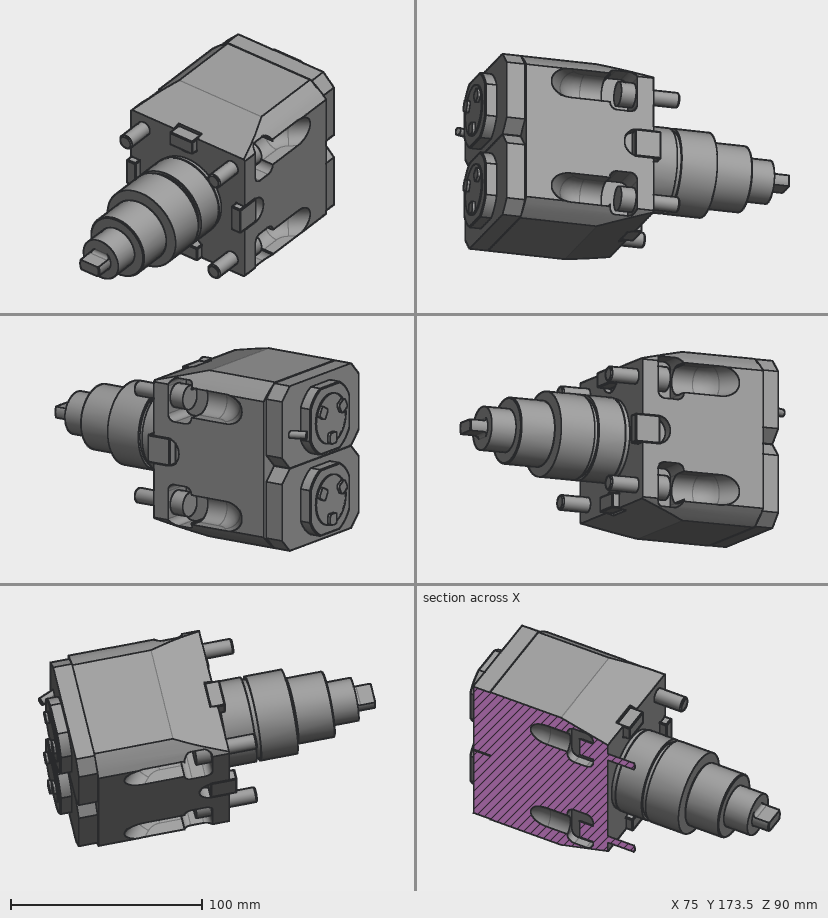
import cadquery as cq
import math

BODY_WIDTH = 75.0
BODY_HEIGHT = 90.0
BODY_LENGTH = 70.0
BODY_TURNED_DIAMETER = 105.0
TAPER_LENGTH = 28.0
FRONT_HEIGHT = BODY_WIDTH
HALF_WIDTH = BODY_WIDTH / 2

PLATE_WIDTH = 70.0
PLATE_HEIGHT = 44.5
PLATE_THICKNESS = 10.0
PLATE_CHAMFER = 7.0
PLATE_GAP = 0.3
PLATE_BACK = BODY_LENGTH + PLATE_THICKNESS

REAR_END = 88.47
CAP_OFFSET = 22.0
CAP_DIAMETER = 40.0
CAP_ACROSS_FLATS = 36.0
CAP_HEIGHT = 6.3
CAP_CHAMFER = 0.5
CAP_FACE_DIAMETER = 27.0
CAP_FACE_HEIGHT = 0.6
PAD_SIZE = 6.0
PAD_CORNER_RADIUS = 1.5
PAD_CIRCLE_RADIUS = 10.3
PAD_ANGLES = (30, 150, 270)

NOZZLE_DIAMETER = 4.0
NOZZLE_TILT = 24.0
NOZZLE_X = 26.9
NOZZLE_Z = 18.25
NOZZLE_ROOT = 2.0

SPINDLE_STEPS = (
    (44.0, 2.5),
    (45.0, 18.0),
    (42.0, 20.5),
    (45.0, 40.0),
    (16.6, 41.0),
)
NUT_DIAMETER = 35.0
NUT_START = SPINDLE_STEPS[-1][1]
NUT_END = 61.0
NUT_CHAMFER = 0.5
HOLDER_DIAMETER = 23.0
HOLDER_END = 75.0
TANG_DIAMETER = 13.0
TANG_THICKNESS = 6.0
TANG_END = 85.0
TANG_FILLET = 2.0
TANG_CHAMFER = 0.5

SCREW_OFFSET = 29.0
SCREW_DIAMETER = 8.0
SCREW_PROJECTION = 16.0
SCREW_CHAMFER = 0.7
HEAD_DIAMETER = 13.0
HEAD_HEIGHT = 8.0

POCKET_FRONT = 9.0
POCKET_LENGTH = 15.0
POCKET_HEIGHT = 23.0
POCKET_CENTER_Z = 28.5
POCKET_CORNER_RADIUS = 4.0
POCKET_FLOOR_X = 21.0
POCKET_BACK = POCKET_FRONT + POCKET_LENGTH

GROOVE_WIDTH = 16.0
GROOVE_AXIS_X = 30.6
GROOVE_BEND_RADIUS = 8.5
GROOVE_BEND_START = 36.0
GROOVE_BEND_ANGLE = 50.0
GROOVE_RUNOUT = 30.0
GROOVE_BEND_X = GROOVE_AXIS_X + GROOVE_BEND_RADIUS

KEY_WIDTH = 15.0
KEY_PROJECTION = 4.0
KEY_CHAMFER = 0.5
SIDE_KEY_LENGTH = 14.0
SIDE_KEY_DEPTH = 6.0
SIDE_SLOT_CENTER_Y = 8.5
END_KEY_LENGTH = 8.0
END_KEY_DEPTH = 8.0
END_KEY_OFFSET_X = 1.6
END_SLOT_ARC_HEIGHT = 3.6


def rod(diameter, start, end, x=0.0, z=0.0):
    """Cylinder along Y between two Y positions."""
    return cq.Workplane("XZ", origin=(x, start, z)).circle(diameter / 2).extrude(start - end)


def box(x_range, y_range, z_range):
    """Box between pairs of limits."""
    (x0, x1), (y0, y1), (z0, z1) = x_range, y_range, z_range
    return cq.Workplane("XY").box(x1 - x0, y1 - y0, z1 - z0, centered=False).translate((x0, y0, z0))


def on_four_corners(shape):
    """The shape at +X, +Z together with its mirror images across YZ and XY."""
    pair = shape.union(shape.mirror("YZ"))
    return pair.union(pair.mirror("XY"))


def make_housing():
    half_front = FRONT_HEIGHT / 2
    half_height = BODY_HEIGHT / 2
    side_outline = [
        (0, -half_front),
        (TAPER_LENGTH, -half_height),
        (BODY_LENGTH, -half_height),
        (BODY_LENGTH, half_height),
        (TAPER_LENGTH, half_height),
        (0, half_front),
    ]
    block = cq.Workplane("YZ").polyline(side_outline).close().extrude(HALF_WIDTH, both=True)
    return block.intersect(rod(BODY_TURNED_DIAMETER, 0, BODY_LENGTH))


def make_screw_pocket():
    half_height = POCKET_HEIGHT / 2
    return box(
        (POCKET_FLOOR_X, HALF_WIDTH),
        (POCKET_FRONT, POCKET_BACK),
        (POCKET_CENTER_Z - half_height, POCKET_CENTER_Z + half_height),
    ).edges("|X").fillet(POCKET_CORNER_RADIUS)


def groove_profile():
    """U-profile at the start of the bend, at -X, from the bend axis inwards."""
    radius = GROOVE_WIDTH / 2
    return (
        cq.Workplane("XZ", origin=(-GROOVE_BEND_X, GROOVE_BEND_START, SCREW_OFFSET))
        .moveTo(0, -radius)
        .lineTo(GROOVE_BEND_RADIUS, -radius)
        .threePointArc((GROOVE_BEND_RADIUS + radius, 0), (GROOVE_BEND_RADIUS, radius))
        .lineTo(0, radius)
        .close()
    )


def make_access_groove():
    """Groove run along Y, bent outwards and run on through the side face, at +X."""
    straight = groove_profile().extrude(GROOVE_BEND_START - POCKET_BACK)
    bend = groove_profile().revolve(GROOVE_BEND_ANGLE, (0, 0), (0, 1))
    pivot = (-GROOVE_BEND_X, GROOVE_BEND_START, 0)
    pivot_top = (-GROOVE_BEND_X, GROOVE_BEND_START, 1)
    runout = groove_profile().extrude(-GROOVE_RUNOUT).rotate(pivot, pivot_top, GROOVE_BEND_ANGLE)
    return straight.union(bend).union(runout).mirror("YZ")


def make_screw():
    shank = rod(SCREW_DIAMETER, POCKET_FRONT, -SCREW_PROJECTION, SCREW_OFFSET, SCREW_OFFSET)
    shank = shank.faces("<Y").chamfer(SCREW_CHAMFER)
    head = rod(HEAD_DIAMETER, POCKET_FRONT, POCKET_FRONT + HEAD_HEIGHT, SCREW_OFFSET, SCREW_OFFSET)
    return shank.union(head)


def make_side_slot():
    """Slot in the +X face, open at the front with a round end."""
    floor_x = HALF_WIDTH - SIDE_KEY_DEPTH
    half_key = KEY_WIDTH / 2
    slot = box((floor_x, HALF_WIDTH), (0, SIDE_SLOT_CENTER_Y), (-half_key, half_key))
    round_end = (
        cq.Workplane("YZ", origin=(floor_x, SIDE_SLOT_CENTER_Y, 0))
        .circle(half_key)
        .extrude(SIDE_KEY_DEPTH)
    )
    return slot.union(round_end)


def make_side_key():
    half_key = KEY_WIDTH / 2
    return box(
        (HALF_WIDTH - SIDE_KEY_DEPTH, HALF_WIDTH),
        (-KEY_PROJECTION, SIDE_KEY_LENGTH - KEY_PROJECTION),
        (-half_key, half_key),
    ).edges().chamfer(KEY_CHAMFER)


def make_end_slot():
    """Slot in the front face, open at the top, with an arched floor."""
    half_key = KEY_WIDTH / 2
    key_bottom = FRONT_HEIGHT / 2 - END_KEY_DEPTH
    return (
        cq.Workplane("XZ", origin=(-END_KEY_OFFSET_X, 0, 0))
        .moveTo(-half_key, key_bottom)
        .threePointArc((0, key_bottom - END_SLOT_ARC_HEIGHT), (half_key, key_bottom))
        .lineTo(half_key, BODY_HEIGHT / 2)
        .lineTo(-half_key, BODY_HEIGHT / 2)
        .close()
        .extrude(KEY_PROJECTION - END_KEY_LENGTH)
    )


def make_end_key():
    half_key = KEY_WIDTH / 2
    top = FRONT_HEIGHT / 2
    return box(
        (-END_KEY_OFFSET_X - half_key, -END_KEY_OFFSET_X + half_key),
        (-KEY_PROJECTION, END_KEY_LENGTH - KEY_PROJECTION),
        (top - END_KEY_DEPTH, top),
    ).edges().chamfer(KEY_CHAMFER)


def half_turn(shape):
    """The shape turned by half a turn about the spindle axis."""
    return shape.rotate((0, 0, 0), (0, 1, 0), 180)


def make_rear_plate():
    half_width = PLATE_WIDTH / 2
    bottom = PLATE_GAP / 2
    return box(
        (-half_width, half_width),
        (BODY_LENGTH, PLATE_BACK),
        (bottom, bottom + PLATE_HEIGHT),
    ).edges("|Y").chamfer(PLATE_CHAMFER)


def make_cap():
    """Rear cap with its raised face and pads, centred on the Y axis."""
    cap_back = PLATE_BACK + CAP_HEIGHT
    face_back = cap_back + CAP_FACE_HEIGHT
    half_flats = CAP_ACROSS_FLATS / 2
    disc = rod(CAP_DIAMETER, PLATE_BACK, cap_back)
    flats = box((-half_flats, half_flats), (PLATE_BACK, cap_back), (-half_flats, half_flats))
    cap = disc.intersect(flats).faces(">Y").chamfer(CAP_CHAMFER)
    cap = cap.union(rod(CAP_FACE_DIAMETER, cap_back, face_back))
    half_pad = PAD_SIZE / 2
    pad = box(
        (PAD_CIRCLE_RADIUS - half_pad, PAD_CIRCLE_RADIUS + half_pad),
        (face_back, REAR_END),
        (-half_pad, half_pad),
    ).edges("|Y").fillet(PAD_CORNER_RADIUS)
    for angle in PAD_ANGLES:
        cap = cap.union(pad.rotate((0, 0, 0), (0, -1, 0), angle))
    return cap


def make_nozzle():
    tilt = math.radians(NOZZLE_TILT)
    tip_center = REAR_END - NOZZLE_DIAMETER / 2 * math.sin(tilt)
    outer_length = (tip_center - PLATE_BACK) / math.cos(tilt)
    nozzle = rod(NOZZLE_DIAMETER, -NOZZLE_ROOT, outer_length)
    return nozzle.rotate((0, 0, 0), (0, 0, 1), NOZZLE_TILT).translate((NOZZLE_X, PLATE_BACK, NOZZLE_Z))


def make_tang():
    """Flat driving tang whose faces flare into the holder end."""
    half = TANG_THICKNESS / 2
    flared = half + TANG_FILLET
    blend = TANG_FILLET * (1 - math.sqrt(0.5))
    blend_end = HOLDER_END + TANG_FILLET
    outline = (
        cq.Workplane("YZ")
        .moveTo(-HOLDER_END, -flared)
        .lineTo(-HOLDER_END, flared)
        .threePointArc((-HOLDER_END - blend, half + blend), (-blend_end, half))
        .lineTo(-TANG_END, half)
        .lineTo(-TANG_END, -half)
        .lineTo(-blend_end, -half)
        .threePointArc((-HOLDER_END - blend, -half - blend), (-HOLDER_END, -flared))
        .close()
        .extrude(TANG_DIAMETER / 2, both=True)
    )
    round_bar = rod(TANG_DIAMETER, -HOLDER_END, -TANG_END).faces("<Y").chamfer(TANG_CHAMFER)
    return outline.intersect(round_bar)


def make_spindle():
    start = 0.0
    spindle = cq.Workplane("XY")
    for diameter, end in SPINDLE_STEPS:
        spindle = spindle.union(rod(diameter, -start, -end))
        start = end
    nut = rod(NUT_DIAMETER, -NUT_START, -NUT_END).faces("<Y or >Y").chamfer(NUT_CHAMFER)
    holder = rod(HOLDER_DIAMETER, -NUT_END, -HOLDER_END)
    return spindle.union(nut).union(holder).union(make_tang())


housing = make_housing()
housing = housing.cut(on_four_corners(make_screw_pocket()))
housing = housing.cut(on_four_corners(make_access_groove()))
for slot, key in ((make_side_slot(), make_side_key()), (make_end_slot(), make_end_key())):
    housing = housing.cut(slot).cut(half_turn(slot))
    housing = housing.union(key).union(half_turn(key))

plate = make_rear_plate()
cap = make_cap()
result = (
    housing.union(on_four_corners(make_screw()))
    .union(plate)
    .union(plate.mirror("XY"))
    .union(cap.translate((0, 0, CAP_OFFSET)))
    .union(cap.translate((0, 0, -CAP_OFFSET)))
    .union(make_nozzle())
    .union(make_spindle())
)